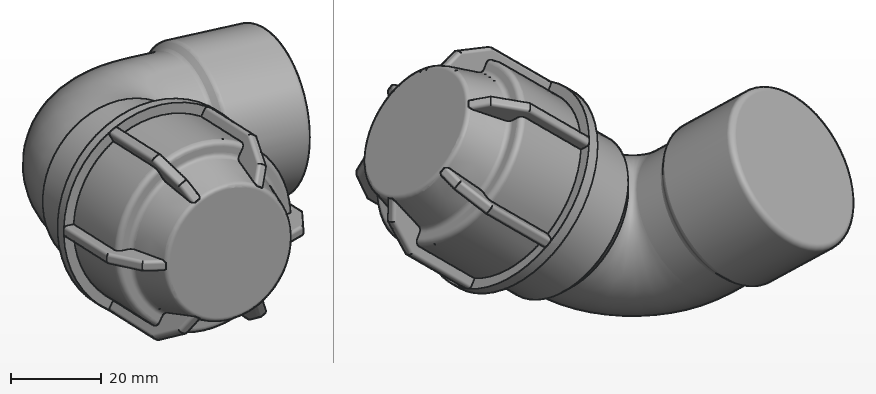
import cadquery as cq



pipe_radius = 35.44 / 2
bend_radius = 19.0

socket_radius = 39.38 / 2
socket_end = 50.0
socket_shoulder = 28.9
socket_rim_round = 1.4
shoulder_round = 1.4

coupling_radius = 40.0 / 2
coupling_cone_length = 2.4
coupling_end = 34.9
flare_radius = 21.45

flange_start = 36.2
flange_end = 38.9
flange_radius = 50.0 / 2
nut_radius = 22.5
nut_shoulder = 57.65
nut_shoulder_round = 1.3
cap_end = 68.0
cap_base_radius = 18.8
cap_tip_radius = 16.05
cap_root_round = 1.25
cap_tip_round = 1.15

rib_count = 6
rib_width = 2.5
rib_edge_round = 0.75
rib_bend = 57.5
rib_tip = 65.4
rib_tip_radius = 20.6
rib_foot = 67.7
rib_foot_radius = 16.0
rib_inner_radius = 10.0

selection_margin = 0.1


def make_bend():
    """Quarter-torus pipe between the socket and the coupling."""
    return (
        cq.Workplane("XZ", origin=(0, bend_radius, 0))
        .circle(pipe_radius)
        .revolve(90, (bend_radius, 0, 0), (bend_radius, 1, 0))
    )


def make_socket():
    """Straight neck, 45 degree shoulder and socket, turned about Y."""
    shoulder_height = socket_radius - pipe_radius
    neck_end = socket_shoulder - shoulder_height
    turned = (
        cq.Workplane("XY")
        .moveTo(0, bend_radius)
        .lineTo(pipe_radius, bend_radius)
        .lineTo(pipe_radius, neck_end)
        .lineTo(socket_radius, socket_shoulder)
        .lineTo(socket_radius, socket_end)
        .lineTo(0, socket_end)
        .close()
        .revolve(360, (0, 0, 0), (0, 1, 0))
    )
    shoulder = cq.selectors.BoxSelector(
        (-socket_radius, neck_end - selection_margin, -socket_radius),
        (socket_radius, socket_shoulder + selection_margin, socket_radius),
    )
    shoulder_circles = turned.edges("%CIRCLE").edges(shoulder)
    return shoulder_circles.fillet(shoulder_round).edges(">Y").fillet(socket_rim_round)


def round_shoulder_circle(turned, circle_radius, round_radius):
    """Round the one edge of the nut's shoulder that has the given radius."""
    shoulder_zone = cq.selectors.BoxSelector(
        (nut_shoulder - selection_margin, -flange_radius, -flange_radius),
        (nut_shoulder + selection_margin, flange_radius, flange_radius),
    )
    circles = turned.edges("%CIRCLE").edges(shoulder_zone)
    wanted = circles.filter(lambda edge: abs(edge.radius() - circle_radius) < selection_margin)
    return wanted.fillet(round_radius)


def make_coupling():
    """Coupling body and nut without ribs, turned about X."""
    turned = (
        cq.Workplane("XY")
        .moveTo(bend_radius, 0)
        .lineTo(bend_radius, pipe_radius)
        .lineTo(bend_radius + coupling_cone_length, coupling_radius)
        .lineTo(coupling_end, coupling_radius)
        .lineTo(flange_start, flare_radius)
        .lineTo(flange_start, flange_radius)
        .lineTo(flange_end, flange_radius)
        .lineTo(flange_end, nut_radius)
        .lineTo(nut_shoulder, nut_radius)
        .lineTo(nut_shoulder, cap_base_radius)
        .lineTo(cap_end, cap_tip_radius)
        .lineTo(cap_end, 0)
        .close()
        .revolve(360, (0, 0, 0), (1, 0, 0))
    )
    turned = turned.edges(">X").fillet(cap_tip_round)
    turned = round_shoulder_circle(turned, nut_radius, nut_shoulder_round)
    return round_shoulder_circle(turned, cap_base_radius, cap_root_round)


def make_rib():
    """One grip rib on the +Y side of the nut, with a rounded crest."""
    rib = (
        cq.Workplane("XY")
        .moveTo(flange_end, rib_inner_radius)
        .lineTo(flange_end, flange_radius)
        .lineTo(rib_bend, flange_radius)
        .lineTo(rib_tip, rib_tip_radius)
        .lineTo(rib_foot, rib_foot_radius)
        .lineTo(rib_foot, rib_inner_radius)
        .close()
        .extrude(rib_width / 2, both=True)
    )
    crest = cq.selectors.BoxSelector(
        (flange_end + selection_margin, rib_foot_radius + selection_margin, -rib_width),
        (rib_foot, flange_radius + selection_margin, rib_width),
    )
    return rib.edges(crest).edges("#Z").fillet(rib_edge_round)


result = make_bend().union(make_socket()).union(make_coupling())
rib = make_rib()
for index in range(rib_count):
    result = result.union(rib.rotate((0, 0, 0), (1, 0, 0), index * 360 / rib_count))